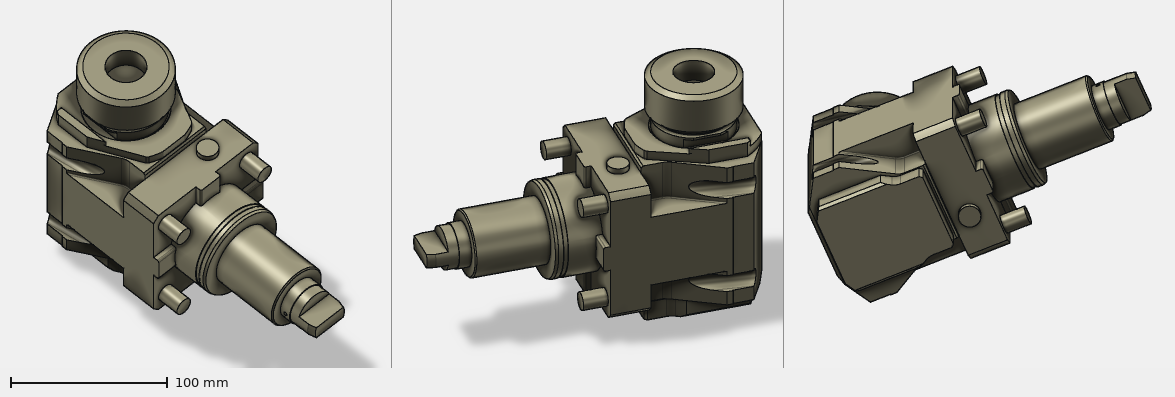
import cadquery as cq
import math


overall_length = 222.0
side_slope = math.radians(30)
nose_slope = math.radians(60)

body_width = 94.0
body_back = 82.5
body_top = 52.2
body_bottom = -51.0
nose_width = 47.3
nose_foot_depth = 3.0
nose_foot_height = 5.8
back_bevel = 1.3
front_side_inset = 0.5
front_side_end = 27.0

band_half_height = 25.5
relief_start = 31.3
relief_half_width = 27.3
relief_corner_radius = 11.0
relief_floor_radius = 0.9

scallop_radius = 6.0
scallop_start = 9.3
scallop_offset = 46.6
scallop_height = 35.0
scallop_tilt = math.radians(8)
scallop_length = 77.7

flange_back = 110.0
flange_half_height = 47.0
flange_corner_radius = 63.5
key_width = 17.8
key_thickness = 4.7
key_corner = 1.3
bolt_diameter = 12.2
bolt_end = 126.5
bolt_y = 36.5
bolt_z = 35.0
plug_diameter = 14.5
plug_x = 94.5
plug_y = 16.9
plug_height = 4.0

pilot_radius = 32.5
pilot_end = 141.9
pilot_bevel_length = 2.0
pilot_bevel_depth = 0.7
seal_start = 133.2
seal_width = 3.0
seal_depth = 0.7
shank_radius = 22.5
shank_end = 192.5
shank_bevel = 0.9
collar_radius = 15.0
collar_end = 200.7
tang_radius = 14.5
tang_shoulder = 207.8
tang_thickness = 10.0
tang_taper_length = 5.5
tang_taper_depth = 1.3
pin_hole_diameter = 2.7
pin_hole_x = 197.0
pin_hole_depth = 2.2

spindle_x = 37.7
plate_top = 58.4
plate_radius = 44.5
plate_back = 81.0
plate_half_width = 38.0
plate_slope_start = 40.6
plate_slope_end = (76.4, 20.6)
rail_top = 62.4
rail_start = 12.0
rail_inner = 32.5

recess_radius = 28.9
recess_depth = 1.0
seat_radius = 27.5
seat_top = 65.3
seat_flat_top = 63.7
seat_flat_offset = 23.0
seat_rim_offset = 26.0
groove_radius = 23.8
groove_top = 67.0
neck_radius = 25.0
nut_bottom = 72.4
nut_top = 98.1
nut_radius = 31.5
nut_bevel_depth = 4.0
nut_bevel_height = 2.5
bore_radius = 13.3
bore_depth = 14.9

foot_bottom = -65.0
foot_front = 5.8
foot_back = 80.0
foot_nose_half_width = 23.0
foot_half_width = 31.7
foot_slope_start = 53.5
foot_tail_half_width = 26.6
foot_tail_corner = 1.8
foot_bevel = 2.0

half_width = body_width / 2
front_half_width = half_width - front_side_inset
recess_floor = plate_top - recess_depth
nose_length = (front_half_width - nose_width / 2) / math.tan(nose_slope)
foot_side_start = foot_front + (foot_half_width - foot_nose_half_width) / math.tan(nose_slope)
relief_corner_x = relief_start + (half_width - relief_half_width) / math.tan(side_slope)
foot_slope_end = foot_slope_start + (foot_half_width - foot_tail_half_width) / math.tan(side_slope)


def box(x_range, y_range, z_range):
    """Axis-aligned block given by its limits."""
    sizes = [high - low for low, high in (x_range, y_range, z_range)]
    corner = (x_range[0], y_range[0], z_range[0])
    return cq.Workplane("XY").box(*sizes, centered=False).translate(corner)


def prism(outline, bottom, top):
    """Vertical prism over an outline in X and Y."""
    return cq.Workplane("XY").workplane(offset=bottom).polyline(outline).close().extrude(top - bottom)


def symmetric_prism(half_outline, bottom, top):
    """Vertical prism whose outline is given on the +Y side, front to back."""
    other_half = [(x, -y) for x, y in reversed(half_outline)]
    return prism(half_outline + other_half, bottom, top)


def rod(radius, start, end):
    """Cylinder on the shank axis."""
    return cq.Workplane("YZ").workplane(offset=start).circle(radius).extrude(end - start)


def post(radius, bottom, top, x=spindle_x, y=0):
    """Vertical cylinder, on the spindle axis unless placed elsewhere."""
    return cq.Workplane("XY").workplane(offset=bottom).center(x, y).circle(radius).extrude(top - bottom)


def both_sides(solid):
    """The solid together with its mirror image across Y = 0."""
    return solid.union(solid.mirror("XZ"))


def top_and_bottom(solid):
    """The solid together with its mirror image across Z = 0."""
    return solid.union(solid.mirror("XY"))


def make_body():
    body = symmetric_prism(
        [
            (0, nose_width / 2),
            (nose_length, front_half_width),
            (front_side_end, front_half_width),
            (front_side_end, half_width),
            (body_back, half_width),
        ],
        body_bottom,
        body_top,
    )
    nose_foot = (
        cq.Workplane("XZ")
        .moveTo(0, body_bottom)
        .lineTo(nose_foot_depth, body_bottom)
        .lineTo(0, body_bottom + nose_foot_height)
        .close()
        .extrude(half_width, both=True)
    )
    return body.faces(">X").edges("|Y").chamfer(back_bevel).cut(nose_foot)


def make_relief():
    """Cutter for the upper relief on the +Y side, rounded where it meets the floor."""
    clear_y = 2 * half_width
    clear_start = relief_start - (clear_y - half_width) / math.tan(side_slope)
    clear_back = 2 * body_back
    outline = [
        (clear_start, clear_y),
        (relief_corner_x, relief_half_width),
        (clear_back, relief_half_width),
        (clear_back, clear_y),
    ]
    relief = prism(outline, band_half_height, 2 * body_top)
    corner = cq.selectors.NearestToPointSelector((relief_corner_x, relief_half_width, body_top))
    relief = relief.edges("|Z").edges(corner).fillet(relief_corner_radius)
    relief = relief.faces("<Z").edges().fillet(relief_floor_radius)
    return relief.intersect(box((0, body_back), (0, clear_y), (0, 2 * body_top)))


def make_scallop():
    """Cutter for the upper scallop on the +Y side: a round-bottomed groove drifting inward along X."""
    start = cq.Vector(scallop_start, scallop_offset, scallop_height)
    direction = cq.Vector(math.cos(scallop_tilt), -math.sin(scallop_tilt), 0)
    across = cq.Vector(0, 0, -1)
    plane = cq.Plane(start - direction * scallop_start, xDir=across, normal=direction)
    outward = half_width
    return (
        cq.Workplane(plane)
        .moveTo(scallop_radius, outward)
        .lineTo(scallop_radius, 0)
        .threePointArc((0, -scallop_radius), (-scallop_radius, 0))
        .lineTo(-scallop_radius, outward)
        .close()
        .extrude(scallop_length)
    )


def make_flange():
    flange = box(
        (body_back, flange_back),
        (-half_width, half_width),
        (-flange_half_height, flange_half_height),
    )
    flange = flange.intersect(rod(flange_corner_radius, body_back, flange_back))
    key_end = flange_back + key_thickness
    side_key = box((body_back, key_end), (0, half_width), (-key_width / 2, key_width / 2))
    top_key = box((body_back, key_end), (-key_width / 2, key_width / 2), (0, flange_half_height))
    side_key = side_key.faces(">X").edges("|Y").fillet(key_corner)
    top_key = top_key.faces(">X").edges("|Z").fillet(key_corner)
    bolt = rod(bolt_diameter / 2, body_back, bolt_end).translate((0, bolt_y, bolt_z))
    plug_top = flange_half_height + plug_height
    plug = post(plug_diameter / 2, 0, plug_top, plug_x, plug_y)
    flange = flange.union(both_sides(side_key)).union(top_and_bottom(top_key))
    return flange.union(both_sides(top_and_bottom(bolt))).union(top_and_bottom(plug))


def make_shank():
    """Pilot, shank, collar and tang turned about X, then the tang flats."""
    seal_end = seal_start + seal_width
    profile = [
        (body_back, 0),
        (body_back, pilot_radius),
        (seal_start, pilot_radius),
        (seal_start, pilot_radius - seal_depth),
        (seal_end, pilot_radius - seal_depth),
        (seal_end, pilot_radius),
        (pilot_end - pilot_bevel_length, pilot_radius),
        (pilot_end, pilot_radius - pilot_bevel_depth),
        (pilot_end, shank_radius),
        (shank_end - shank_bevel, shank_radius),
        (shank_end, shank_radius - shank_bevel),
        (shank_end, collar_radius),
        (collar_end, collar_radius),
        (collar_end, tang_radius),
        (overall_length - tang_taper_length, tang_radius),
        (overall_length, tang_radius - tang_taper_depth),
        (overall_length, 0),
    ]
    shank = cq.Workplane("XY").polyline(profile).close().revolve(360, (0, 0, 0), (1, 0, 0))
    flat = box(
        (tang_shoulder, overall_length),
        (-tang_radius, tang_radius),
        (tang_thickness / 2, tang_radius),
    )
    pin_hole = (
        cq.Workplane("XZ", origin=(pin_hole_x, -collar_radius, 0))
        .circle(pin_hole_diameter / 2)
        .extrude(-pin_hole_depth)
    )
    return shank.cut(top_and_bottom(flat)).cut(pin_hole)


def make_top_plate():
    """Round plate trimmed to the body, with a rail along each side and a recess round the spindle."""
    blank = symmetric_prism(
        [
            (0, plate_half_width),
            (plate_slope_start, plate_half_width),
            plate_slope_end,
            (plate_back, plate_slope_end[1] - (plate_back - plate_slope_end[0])),
        ],
        body_top,
        rail_top,
    )
    blank = blank.intersect(post(plate_radius, body_top, rail_top))
    above_plate = (plate_top, rail_top)
    inner = box((0, plate_back), (-rail_inner, rail_inner), above_plate)
    front = box((0, rail_start), (-plate_half_width, plate_half_width), above_plate)
    recess = post(recess_radius, recess_floor, plate_top)
    return blank.cut(inner).cut(front).cut(recess)


def make_spindle():
    seat = post(seat_radius, body_top, seat_top)
    lower_flat = box(
        (0, 2 * spindle_x), (seat_flat_offset, seat_radius), (recess_floor, seat_flat_top)
    )
    rim_flat = box((0, 2 * spindle_x), (seat_rim_offset, seat_radius), (seat_flat_top, seat_top))
    seat = seat.cut(both_sides(lower_flat)).cut(both_sides(rim_flat))
    nut = post(nut_radius, nut_bottom, nut_top)
    nut = nut.faces(">Z").chamfer(nut_bevel_height, nut_bevel_depth)
    spindle = seat.union(post(groove_radius, seat_top, groove_top))
    spindle = spindle.union(post(neck_radius, groove_top, nut_bottom)).union(nut)
    return spindle.cut(post(bore_radius, nut_top - bore_depth, nut_top))


def make_foot():
    foot = symmetric_prism(
        [
            (foot_front, foot_nose_half_width),
            (foot_side_start, foot_half_width),
            (foot_slope_start, foot_half_width),
            (foot_slope_end, foot_tail_half_width),
            (foot_back - foot_tail_corner, foot_tail_half_width),
            (foot_back, foot_tail_half_width - foot_tail_corner),
        ],
        foot_bottom,
        body_bottom,
    )
    foot_middle = (foot_bottom + body_bottom) / 2
    for corner_y in (-foot_tail_half_width, foot_tail_half_width):
        corner = cq.selectors.NearestToPointSelector((foot_slope_end, corner_y, foot_middle))
        foot = foot.edges("|Z").edges(corner).fillet(relief_corner_radius)
    foot_side_middle = (foot_side_start + foot_slope_start) / 2
    for side_y in (-foot_half_width, foot_half_width):
        lower_edge = cq.selectors.NearestToPointSelector((foot_side_middle, side_y, foot_bottom))
        foot = foot.edges(lower_edge).chamfer(foot_bevel)
    return foot


body = make_body()
body = body.cut(both_sides(top_and_bottom(make_relief())))
body = body.cut(both_sides(top_and_bottom(make_scallop())))

result = body
for section in (make_flange(), make_shank(), make_top_plate(), make_spindle(), make_foot()):
    result = result.union(section)